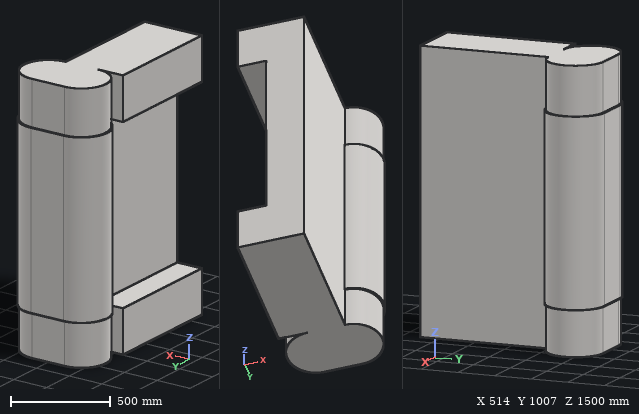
import cadquery as cq

height = 1500.0
post_length = height / 3
post_width = 300.0
post_radius = post_width / 2
rail_height = height / 6

sleeve_wall = 7.0
sleeve_bottom = 243.0
sleeve_height = 996.0

post_left = -post_length / 2
post_front = -post_width / 2
blade_right = post_length / 2 - post_radius
blade_width = blade_right - post_left
blade_length = 2 * blade_width
recess_depth = post_radius


def rounded_post(offset, bottom, tall):
    """Upright bar of slot-shaped section, grown outward by offset."""
    return (
        cq.Workplane("XY", origin=(0, 0, bottom))
        .slot2D(post_length + 2 * offset, post_width + 2 * offset)
        .extrude(tall)
    )


def make_blade():
    """Flat block with a recess in its -X side that leaves a rail at each end."""
    block = (
        cq.Workplane("XY")
        .box(blade_width, blade_length, height, centered=False)
        .translate((post_left, post_front - blade_length, 0))
    )
    recess = (
        cq.Workplane("XY")
        .box(recess_depth, blade_length, height - 2 * rail_height, centered=False)
        .translate((post_left, post_front - blade_length, rail_height))
    )
    return block.cut(recess)


def make_frame():
    return rounded_post(0, 0, height).union(make_blade())


def make_sleeve(frame):
    """Shell that fits the post and is split where the blade passes through it."""
    return rounded_post(sleeve_wall, sleeve_bottom, sleeve_height).cut(frame)


frame = make_frame()
sleeve = make_sleeve(frame)

result = cq.Compound.makeCompound([frame.solids().val(), sleeve.solids().val()])